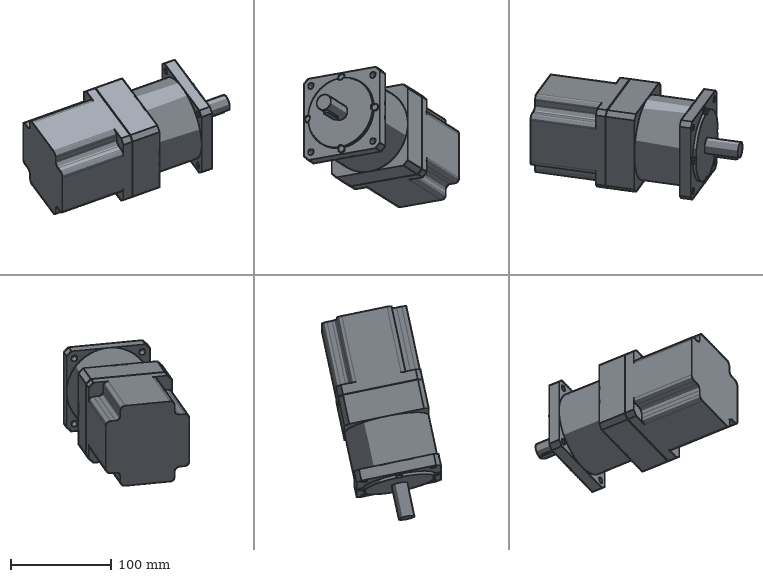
import cadquery as cq


body_width = 86.0
half_width = body_width / 2
corner_chamfer = 5.0

motor_rear = 0.0
motor_front_plate = 68.2
joint_rear = 78.3
joint_front = 78.7
adapter_front = 108.7
gearbox_front = 155.8
flange_front = 167.5
pilot_front = 170.8
shaft_end = 205.5

groove_depth = 0.2

notch_size = 15.0
notch_radius = 5.0

hole_diameter = 6.2
hole_offset = 35.0

pilot_diameter = 72.7
screw_head_diameter = 7.0
screw_head_height = 1.2
screw_circle_radius = 37.8

shaft_diameter = 16.0
key_length = 25.0
key_width = 5.0
key_end_gap = 2.5
key_reach = 10.0


def section(y):
    """Workplane facing +Y at station y, with local x along +X and local y along +Z."""
    return cq.Workplane(cq.Plane(origin=(0, y, 0), xDir=(1, 0, 0), normal=(0, 1, 0)))


def chamfered_block(y_start, y_end, width):
    block = section(y_start).rect(width, width).extrude(y_end - y_start)
    return block.edges("|Y").chamfer(corner_chamfer)


def cylinder(y_start, y_end, diameter):
    return section(y_start).circle(diameter / 2).extrude(y_end - y_start)


def notched_motor():
    """Motor body with a cross-shaped outline, rounded at every outer and inner corner."""
    length = motor_front_plate - motor_rear
    arm_width = body_width - 2 * notch_size
    flat_arm = section(motor_rear).rect(body_width, arm_width).extrude(length)
    upright_arm = section(motor_rear).rect(arm_width, body_width).extrude(length)
    return flat_arm.union(upright_arm).edges("|Y").fillet(notch_radius)


def drilled_flange():
    flange = chamfered_block(gearbox_front, flange_front, body_width)
    spacing = 2 * hole_offset
    holes = (
        section(gearbox_front)
        .rect(spacing, spacing, forConstruction=True)
        .vertices()
        .circle(hole_diameter / 2)
        .extrude(flange_front - gearbox_front)
    )
    return flange.cut(holes)


def screw_cylinders(y_start, y_end):
    return (
        section(y_start)
        .polarArray(screw_circle_radius, 0, 360, 4)
        .circle(screw_head_diameter / 2)
        .extrude(y_end - y_start)
    )


def pilot_with_screws():
    """Pilot boss whose rim is cut away above four partly sunk screw heads."""
    screw_top = flange_front + screw_head_height
    pilot = cylinder(flange_front, pilot_front, pilot_diameter)
    pilot = pilot.cut(screw_cylinders(screw_top, pilot_front))
    return pilot.union(screw_cylinders(flange_front, screw_top))


def shaft_key():
    """Key on the -Z side of the shaft, reaching from the shaft axis to its outer face."""
    key_middle = shaft_end - key_end_gap - key_length / 2
    return (
        cq.Workplane("XY", origin=(0, key_middle, -key_reach))
        .slot2D(key_length, key_width, 90)
        .extrude(key_reach)
    )


sections = [
    chamfered_block(motor_front_plate, joint_rear, body_width),
    chamfered_block(joint_rear, joint_front, body_width - 2 * groove_depth),
    chamfered_block(joint_front, adapter_front, body_width),
    cylinder(adapter_front, gearbox_front, body_width),
    drilled_flange(),
    pilot_with_screws(),
    cylinder(pilot_front, shaft_end, shaft_diameter),
    shaft_key(),
]

result = notched_motor()
for piece in sections:
    result = result.union(piece)